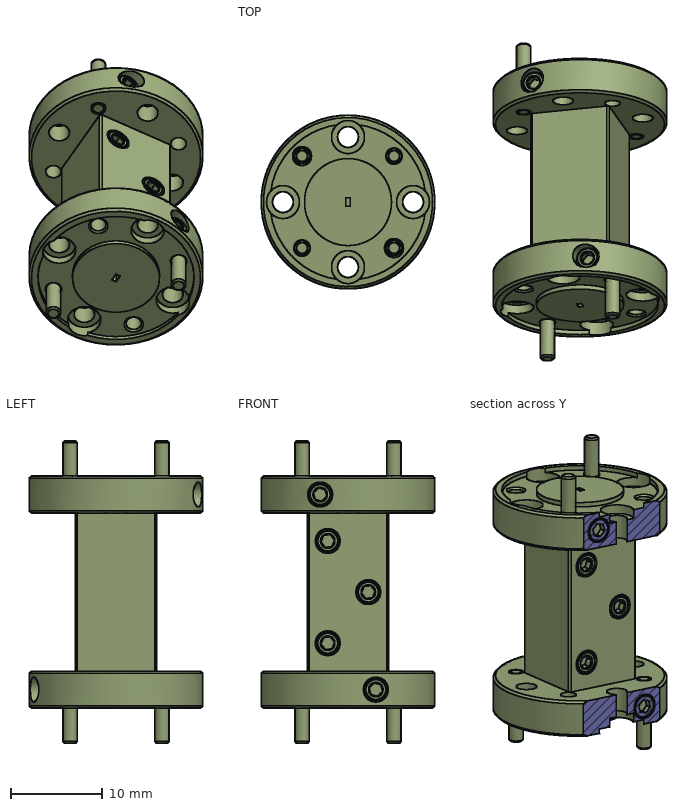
import cadquery as cq
import math


total_length = 33.15

flange_diameter = 19.05
flange_outer_z = 12.73
flange_inner_z = 8.65
flange_outer_chamfer = 0.25
flange_inner_chamfer = 0.25
flange_middle_z = (flange_outer_z + flange_inner_z) / 2

recess_diameter = 17.1
recess_depth = 0.5
boss_diameter = 9.55
recess_floor_z = flange_outer_z - recess_depth

hole_circle_radius = 7.13
bolt_hole_diameter = 2.25
counterbore_diameter = 3.6
counterbore_depth = 1.5
diagonal_offset = hole_circle_radius * math.sqrt(0.5)

pin_diameter = 1.6
pin_chamfer = 0.2
pin_mouth_chamfer = 0.1
open_hole_diameter = 1.7
open_mouth_chamfer = 0.2

waveguide_width = 0.53
waveguide_height = 0.9
waveguide_depth = 1.65

block_width = 8.92
block_edge_chamfer = 0.23

bore_diameter = 2.72
head_diameter = 2.45
head_chamfer = 0.13
clearance_depth = 0.5
socket_sides = 6
socket_across_corners = 1.52
socket_depth = 1.0
socket_mouth_chamfer = 0.03
block_socket_turn = 8.0
flange_socket_turn = 45.0
block_screw_x = 2.22
block_screw_z = 5.6
flange_screw_x = 3.05
flange_screw_face_y = 8.35

diagonal_pin_points = [(-diagonal_offset, -diagonal_offset), (diagonal_offset, diagonal_offset)]
diagonal_hole_points = [(-diagonal_offset, diagonal_offset), (diagonal_offset, -diagonal_offset)]


def cylinder(diameter, bottom_z, top_z):
    return cq.Workplane("XY").workplane(offset=bottom_z).circle(diameter / 2).extrude(top_z - bottom_z)


def mouth_cutter(diameter, chamfer):
    """Full 45-degree cone that chamfers the mouth of a hole opening upward at Z = 0."""
    mouth_radius = diameter / 2 + chamfer
    return cq.Workplane(cq.Solid.makeCone(0, mouth_radius, mouth_radius, pnt=cq.Vector(0, 0, -mouth_radius)))


def screw_cutter(x, face_y, z, cover, socket_turn):
    """Space around and inside a screw head whose face looks toward -Y.

    The bore reaches outward from the head face by the length of cover.
    """
    head = cylinder(head_diameter, -clearance_depth, 0).faces(">Z").chamfer(head_chamfer)
    socket = (
        cq.Workplane("XY")
        .polygon(socket_sides, socket_across_corners)
        .extrude(-socket_depth)
        .rotate((0, 0, 0), (0, 0, 1), socket_turn)
    )
    mouth = mouth_cutter(socket_across_corners, socket_mouth_chamfer)
    space = cylinder(bore_diameter, -clearance_depth, cover).cut(head).union(socket).union(mouth)
    return space.rotate((0, 0, 0), (1, 0, 0), 90).translate((x, face_y, z))


def mouthed_hole_cutter(point, diameter, mouth_chamfer):
    """Through hole in the upper flange, with a chamfered mouth at the recess floor."""
    hole = cylinder(diameter, flange_inner_z, recess_floor_z)
    mouth = mouth_cutter(diameter, mouth_chamfer).translate((0, 0, recess_floor_z))
    return hole.union(mouth).translate((*point, 0))


def make_flange():
    """Upper flange."""
    flange = cylinder(flange_diameter, flange_inner_z, flange_outer_z)
    flange = flange.faces(">Z").chamfer(flange_outer_chamfer)
    flange = flange.faces("<Z").chamfer(flange_inner_chamfer)

    recess = cylinder(recess_diameter, recess_floor_z, flange_outer_z)
    flange = flange.cut(recess.cut(cylinder(boss_diameter, recess_floor_z, flange_outer_z)))

    counterbore_floor_z = flange_outer_z - counterbore_depth
    bolt_hole = cylinder(bolt_hole_diameter, flange_inner_z, flange_outer_z)
    bolt_hole = bolt_hole.union(cylinder(counterbore_diameter, counterbore_floor_z, flange_outer_z))
    for turn in range(0, 360, 90):
        hole = bolt_hole.translate((hole_circle_radius, 0, 0)).rotate((0, 0, 0), (0, 0, 1), turn)
        flange = flange.cut(hole)

    for point in diagonal_pin_points:
        flange = flange.cut(mouthed_hole_cutter(point, pin_diameter, pin_mouth_chamfer))
    for point in diagonal_hole_points:
        flange = flange.cut(mouthed_hole_cutter(point, open_hole_diameter, open_mouth_chamfer))

    cover = flange_diameter / 2 - flange_screw_face_y
    screw = screw_cutter(-flange_screw_x, -flange_screw_face_y, flange_middle_z, cover, flange_socket_turn)
    for turn in (0, 180):
        flange = flange.cut(screw.rotate((0, 0, 0), (0, 0, 1), turn))
    return flange


def make_block():
    block = cq.Workplane("XY").box(block_width, block_width, 2 * flange_inner_z)
    block = block.edges("|Z").chamfer(block_edge_chamfer)
    screw_places = [(-block_screw_x, block_screw_z), (block_screw_x, 0), (-block_screw_x, -block_screw_z)]
    for x, z in screw_places:
        block = block.cut(screw_cutter(x, -block_width / 2, z, 0, block_socket_turn))
    return block


def turned_over(body):
    """Carry a body from the upper end to the lower end, half a turn about Y."""
    return body.rotate((0, 0, 0), (0, 1, 0), 180)


def make_housing():
    flange = make_flange()
    housing = make_block().union(flange).union(turned_over(flange))
    waveguide = (
        cq.Workplane("XY")
        .workplane(offset=flange_outer_z)
        .rect(waveguide_width, waveguide_height)
        .extrude(-waveguide_depth)
    )
    return housing.cut(waveguide).cut(turned_over(waveguide))


def make_pin(point):
    """Pin of the upper flange, flush with the inner flange face."""
    pin = cylinder(pin_diameter, flange_inner_z, total_length / 2)
    return pin.faces("<Z or >Z").chamfer(pin_chamfer).translate((*point, 0))


housing = make_housing()

pins = []
for point in diagonal_pin_points:
    upper_pin = make_pin(point)
    pins.append(upper_pin.solids().val())
    pins.append(turned_over(upper_pin).solids().val())

result = cq.Compound.makeCompound([housing.solids().val(), *pins])